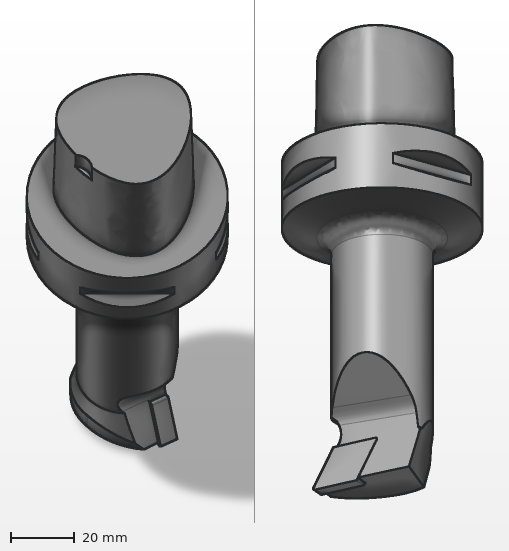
import cadquery as cq
import math


taper_height = 37.9
taper_base_radius = 21.9
taper_top_radius = 21.0
taper_lobe = 1.6
taper_points = 48
key_width = 7.5
key_height = 6.4
key_depth = 1.5

flange_radius = 63.0 / 2
flange_height = 22.0
neck_cone_angle = 16.0
neck_fillet = 6.2
bar_radius = 32.0 / 2
bar_end_z = -95.2

slot_count = 4
slot_first_angle = 45.0
slot_top_z = -10.2
slot_wall_height = 3.4
slot_depth = 3.7
slot_flare = 2.2

tip_x = 22.3
nose_setback = 0.05
tip_z = taper_height - 148.0 - nose_setback
flare_angle = 27.0
head_front_y = -18.4
head_left_radius = 16.9
head_right_radius = 25.2
head_flat = 0.7
head_back_y = 13.3
head_base_z = -107.6
head_base_slope_x = 0.072
head_base_slope_y = 0.1
relief_start_z = -90.0
relief_angle = 19.4

rake_slope_x = 0.19
rake_slope_z = 0.15
ramp_start = 22.6
ramp_angle = 19.0
ramp_blend = 17.8
gullet_radius = 6.5
gullet_distance = 16.7
side_inset = 1.2

insert_side = 15.1
insert_angle = 55.0
insert_tilt = 3.5
insert_thickness = 6.4
nose_radius = 0.5

clearance = 59.2
edge_margin = 1.5

rake_normal = cq.Vector(-rake_slope_x, -1.0, rake_slope_z)
rake_plane = cq.Plane(
    origin=(tip_x, 0, tip_z),
    xDir=(1, -rake_slope_x, 0),
    normal=rake_normal.toTuple(),
)


def along(angle, distance):
    """Point at a polar angle and distance from the local origin."""
    a = math.radians(angle)
    return distance * math.cos(a), distance * math.sin(a)


def add(a, b):
    return a[0] + b[0], a[1] + b[1]


edge_angle = 180.0 - insert_tilt
side_angle = edge_angle - insert_angle
outward_angle = side_angle - 90.0


def trilobe_point(radius, turn):
    """Point of the three-lobed taper outline, with one lobe toward +Y."""
    a = 2 * math.pi * turn
    x = -radius * math.sin(a) + taper_lobe * math.sin(2 * a)
    y = radius * math.cos(a) + taper_lobe * math.cos(2 * a)
    return x, y


def trilobe(workplane, radius):
    points = [trilobe_point(radius, i / taper_points) for i in range(taper_points)]
    return workplane.spline(points, periodic=True).close()


def make_taper():
    base = trilobe(cq.Workplane("XY"), taper_base_radius)
    taper = trilobe(base.workplane(offset=taper_height), taper_top_radius).loft(ruled=True)
    key_floor_y = -(taper_top_radius - taper_lobe) + key_depth
    half_width = key_width / 2
    key_radius = (half_width**2 + key_depth**2) / (2 * key_depth)
    key = (
        cq.Workplane("XY", origin=(0, key_floor_y - key_radius, taper_height - key_height))
        .circle(key_radius)
        .extrude(key_height)
    )
    return taper.cut(key)


def make_flange_and_bar():
    cone_drop = (flange_radius - bar_radius) * math.tan(math.radians(neck_cone_angle))
    neck_z = -flange_height - cone_drop
    body = (
        cq.Workplane("XZ")
        .moveTo(0, 0)
        .lineTo(flange_radius, 0)
        .lineTo(flange_radius, -flange_height)
        .lineTo(bar_radius, neck_z)
        .lineTo(bar_radius, bar_end_z)
        .lineTo(0, bar_end_z)
        .close()
        .revolve(360, (0, 0), (0, 1))
    )
    neck_edge = cq.selectors.BoxSelector(
        (-clearance, -clearance, neck_z - edge_margin),
        (clearance, clearance, neck_z + edge_margin),
        boundingbox=True,
    )
    body = body.edges(neck_edge).edges("%CIRCLE").fillet(neck_fillet)
    for i in range(slot_count):
        body = body.cut(make_gripper_slot(slot_first_angle + i * 360 / slot_count))
    return body


def make_gripper_slot(angle):
    """Trapezoidal slot across the rim, opening outward."""
    floor = flange_radius - slot_depth
    bottom_z = slot_top_z - slot_wall_height
    return (
        cq.Workplane("XZ")
        .moveTo(floor, slot_top_z)
        .lineTo(flange_radius, slot_top_z + slot_flare)
        .lineTo(flange_radius, bottom_z - slot_flare)
        .lineTo(floor, bottom_z)
        .close()
        .extrude(flange_radius, both=True)
        .rotate((0, 0, 0), (0, 0, 1), angle)
    )


def make_flared_head():
    """Cone widening below the bar, trimmed to the outline of the head."""
    height = bar_end_z - tip_z
    end_radius = bar_radius + height * math.tan(math.radians(flare_angle))
    cone = cq.Workplane(cq.Solid.makeCone(end_radius, bar_radius, height, pnt=cq.Vector(0, 0, tip_z)))
    left_center_y = head_front_y + head_left_radius
    right_center_y = head_front_y + head_right_radius
    right_x = head_flat + head_right_radius
    cos_45 = math.sqrt(0.5)
    outline = (
        cq.Workplane("XY", origin=(0, 0, tip_z))
        .moveTo(-head_left_radius, left_center_y)
        .threePointArc(
            (-head_left_radius * cos_45, left_center_y - head_left_radius * cos_45),
            (0, head_front_y),
        )
        .lineTo(head_flat, head_front_y)
        .threePointArc(
            (head_flat + head_right_radius * cos_45, right_center_y - head_right_radius * cos_45),
            (right_x, right_center_y),
        )
        .lineTo(right_x, head_back_y)
        .lineTo(-head_left_radius, head_back_y)
        .close()
        .extrude(height)
    )
    return cone.intersect(outline)


def make_end_cutter():
    """Block below the sloping end face."""
    plane = cq.Plane(
        origin=(0, 0, head_base_z),
        xDir=(1, 0, -head_base_slope_x),
        normal=(-head_base_slope_x, -head_base_slope_y, -1),
    )
    return cq.Workplane(plane).rect(2 * clearance, 2 * clearance).extrude(clearance)


def make_relief_cutter():
    """Wedge beyond the sloping flat on the -X side."""
    drop = relief_start_z - tip_z + edge_margin
    return (
        cq.Workplane("XZ")
        .moveTo(-bar_radius, relief_start_z)
        .lineTo(-bar_radius + drop * math.tan(math.radians(relief_angle)), relief_start_z - drop)
        .lineTo(-clearance, relief_start_z - drop)
        .lineTo(-clearance, relief_start_z)
        .close()
        .extrude(clearance, both=True)
    )


def make_rake_cutter():
    """Block on the +Y side of the rake face, ending in a blended ramp."""
    ramp_top = ramp_start + clearance * math.cos(math.radians(ramp_angle))
    ramp_out = clearance * math.sin(math.radians(ramp_angle))
    blend_length = ramp_blend * math.tan(math.radians(ramp_angle / 2))
    blend_end = along(90 - ramp_angle, blend_length)
    blend_sagitta_angle = math.radians(ramp_angle / 2)
    blend_middle = (
        ramp_blend * (1 - math.cos(blend_sagitta_angle)),
        ramp_start - blend_length + ramp_blend * math.sin(blend_sagitta_angle),
    )
    profile_plane = cq.Plane(
        origin=rake_plane.origin.toTuple(),
        xDir=(-rake_normal).toTuple(),
        normal=rake_plane.xDir.toTuple(),
    )
    return (
        cq.Workplane(profile_plane)
        .moveTo(0, -ramp_start)
        .lineTo(0, ramp_start - blend_length)
        .threePointArc(blend_middle, (blend_end[0], ramp_start + blend_end[1]))
        .lineTo(ramp_out, ramp_top)
        .lineTo(clearance, ramp_top)
        .lineTo(clearance, -ramp_start)
        .close()
        .extrude(clearance, both=True)
    )


def make_gullet_cutter():
    """Round gullet square to the rake face, running out along the insert side."""
    side_base = along(outward_angle, -side_inset)
    tangent_point = add(side_base, along(side_angle, gullet_distance))
    center = add(tangent_point, along(outward_angle, gullet_radius))
    low_point = add(side_base, along(side_angle, -gullet_distance))
    reach = along(outward_angle, clearance)
    bore = cq.Workplane(rake_plane).center(*center).circle(gullet_radius).extrude(clearance, both=True)
    runout = (
        cq.Workplane(rake_plane)
        .polyline([low_point, tangent_point, add(tangent_point, reach), add(low_point, reach)])
        .close()
        .extrude(clearance, both=True)
    )
    return bore.union(runout)


def make_insert():
    far_edge = along(edge_angle, insert_side)
    far_side = along(side_angle, insert_side)
    return (
        cq.Workplane(rake_plane)
        .polyline([(0, 0), far_side, add(far_side, far_edge), far_edge])
        .close()
        .extrude(insert_thickness)
        .edges(cq.selectors.ParallelDirSelector(rake_normal))
        .fillet(nose_radius)
    )


def make_holder(insert):
    cutting_end = (
        make_flange_and_bar()
        .union(make_flared_head())
        .cut(make_end_cutter())
        .cut(make_relief_cutter())
        .cut(make_rake_cutter())
        .cut(make_gullet_cutter())
    )
    return cutting_end.union(make_taper()).cut(insert)


insert = make_insert()
holder = make_holder(insert)

result = cq.Compound.makeCompound([holder.val(), insert.val()])